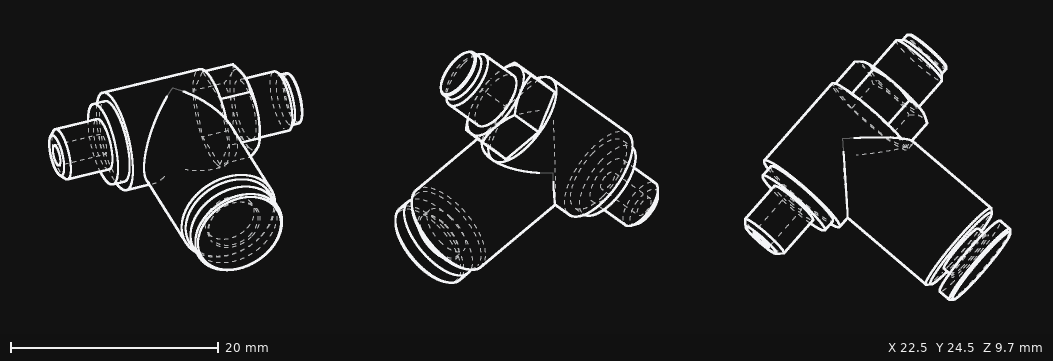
import cadquery as cq
import math


full_turn = 360.0

housing_diameter = 9.7
barrel_front_y = -6.0
barrel_back_y = 4.0
branch_end_x = 15.1
branch_chamfer = 0.3

ring_neck_diameter = 5.1
ring_neck_flare = 0.15
ring_diameter = 9.0
ring_start_x = 16.25
ring_end_x = 17.7
ring_chamfer = 0.2

collar_diameter = 8.0
collar_length = 1.2
stud_diameter = 5.0
stud_end_y = -12.0
stud_chamfer = 0.5
bore_diameter = 2.0

hex_sides = 6
hex_across_flats = 8.0
hex_length = 3.5
hex_crown_angle = 30.0

stem_diameter = 5.9
stem_tip_diameter = 5.0
stem_shoulder_y = 11.7
stem_end_y = 12.5
stem_tip_chamfer = 0.1

collar_front_y = barrel_front_y - collar_length
hex_back_y = barrel_back_y + hex_length
bore_depth = collar_front_y - stud_end_y


def cylinder_y(diameter, start_y, end_y):
    """Cylinder on the Y axis between two Y positions."""
    base = cq.Workplane("XZ", origin=(0, start_y, 0))
    return base.circle(diameter / 2).extrude(start_y - end_y)


def cylinder_x(diameter, start_x, end_x):
    """Cylinder on the X axis between two X positions."""
    base = cq.Workplane("YZ", origin=(start_x, 0, 0))
    return base.circle(diameter / 2).extrude(end_x - start_x)


def make_housing():
    """Barrel and branch, equal cylinders with the branch coped to the barrel's full round.

    The cope runs past the barrel's back end, so a gap stays between branch and nut.
    """
    barrel = cylinder_y(housing_diameter, barrel_front_y, barrel_back_y)
    branch = cylinder_x(housing_diameter, 0, branch_end_x)
    branch = branch.faces(">X").edges().chamfer(branch_chamfer)
    barrel_envelope = cylinder_y(housing_diameter, -housing_diameter, housing_diameter)
    return barrel.union(branch.cut(barrel_envelope))


def make_release_ring():
    """Flanged ring on a thinner neck that flares slightly where it meets the flange."""
    neck_radius = ring_neck_diameter / 2
    neck = cylinder_x(ring_neck_diameter, branch_end_x, ring_start_x)
    flange = cylinder_x(ring_diameter, ring_start_x, ring_end_x)
    flange = flange.faces(">X").edges().chamfer(ring_chamfer)
    flare_profile = [
        (ring_start_x - ring_neck_flare, neck_radius),
        (ring_start_x, neck_radius + ring_neck_flare),
        (ring_start_x, 0),
        (ring_start_x - ring_neck_flare, 0),
    ]
    flare = cq.Workplane("XY").polyline(flare_profile).close().revolve(full_turn, (0, 0, 0), (1, 0, 0))
    return neck.union(flare).union(flange)


def make_stud():
    """Collar and stud with a blind bore in the stud's end."""
    collar = cylinder_y(collar_diameter, collar_front_y, barrel_front_y)
    stud = cylinder_y(stud_diameter, stud_end_y, collar_front_y)
    stud = stud.faces("<Y").edges().chamfer(stud_chamfer)
    bore = cylinder_y(bore_diameter, stud_end_y, stud_end_y + bore_depth)
    return collar.union(stud).cut(bore)


def make_hex_nut():
    """Hexagon with its back corners turned off by a cone."""
    flat_radius = hex_across_flats / 2
    corner_radius = flat_radius / math.cos(math.pi / hex_sides)
    crown_drop = (corner_radius - flat_radius) * math.tan(math.radians(hex_crown_angle))
    hexagon = (
        cq.Workplane("XZ", origin=(0, barrel_back_y, 0))
        .polygon(hex_sides, 2 * corner_radius)
        .extrude(-hex_length)
    )
    crown = (
        cq.Workplane("XY")
        .moveTo(0, barrel_back_y)
        .lineTo(corner_radius, barrel_back_y)
        .lineTo(corner_radius, hex_back_y - crown_drop)
        .lineTo(flat_radius, hex_back_y)
        .lineTo(0, hex_back_y)
        .close()
        .revolve(full_turn, (0, 0, 0), (0, 1, 0))
    )
    return hexagon.intersect(crown)


def make_stem():
    """Adjusting stem with a conical shoulder and a narrower tip."""
    shoulder_drop = (stem_diameter - stem_tip_diameter) / 2
    shaft = cylinder_y(stem_diameter, hex_back_y, stem_shoulder_y)
    shaft = shaft.faces(">Y").edges().chamfer(shoulder_drop)
    tip = cylinder_y(stem_tip_diameter, stem_shoulder_y, stem_end_y)
    tip = tip.faces(">Y").edges().chamfer(stem_tip_chamfer)
    return shaft.union(tip)


result = (
    make_housing()
    .union(make_release_ring())
    .union(make_stud())
    .union(make_hex_nut())
    .union(make_stem())
)